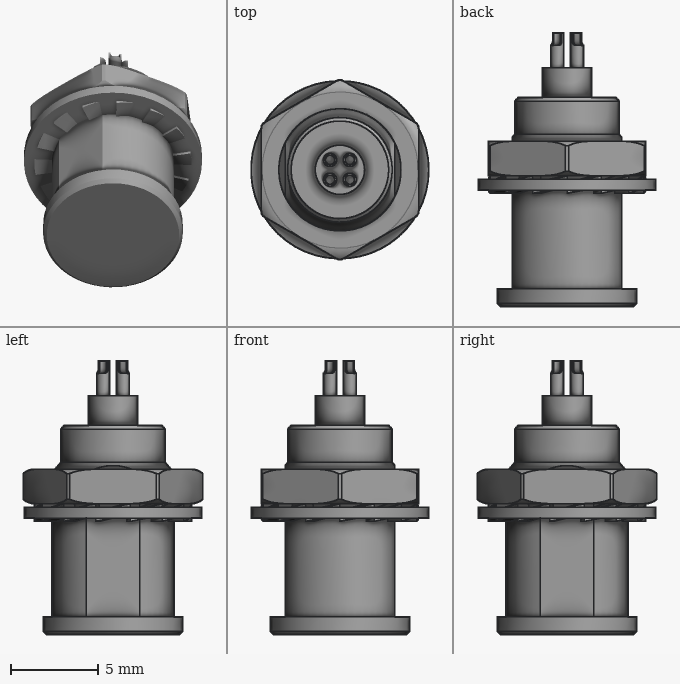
import cadquery as cq
import math


flange_radius = 4.0
flange_height = 1.02
flange_chamfer = 0.2
barrel_radius = 3.5
barrel_across_flats = 6.3
cone_bottom_z = 9.28
cap_radius = 3.0
cap_bottom_z = 9.88
cap_top_z = 12.0
cap_chamfer = 0.2
stem_radius = 1.41
stem_top_z = 13.7

overall_height = 15.7
pin_count = 4
pin_radius = 0.38
pin_circle_radius = 0.8
pin_height = overall_height - stem_top_z
cup_bore_radius = 0.27
cup_bore_depth = 1.49
cup_notch_depth = 0.72
cup_notch_fillet = 0.25

washer_radius = 5.1
washer_bottom_z = 6.5
washer_total_height = 1.0
tooth_height = 0.19
tooth_count = 14
tooth_outer_radius = 4.5
tooth_pitch = 360 / tooth_count
tooth_angle = tooth_pitch / 2
tooth_root_depth = 0.15
washer_top_z = washer_bottom_z + washer_total_height
washer_mid_z = (washer_bottom_z + washer_top_z) / 2
disc_bottom_z = washer_bottom_z + tooth_height
disc_height = washer_total_height - 2 * tooth_height

nut_across_flats = 9.01
nut_corner_radius = 5.15
nut_height = 2.0
nut_face_radius = 4.47
nut_rounding = 1.0


def disc(radius, bottom_z, height):
    """Round plate on the Z axis."""
    return cq.Workplane("XY", origin=(0, 0, bottom_z)).circle(radius).extrude(height)


def make_barrel():
    """Barrel with a coned shoulder, cut to two flats facing -X and +X."""
    barrel = (
        cq.Workplane("XZ")
        .polyline([
            (0, 0),
            (barrel_radius, 0),
            (barrel_radius, cone_bottom_z),
            (cap_radius, cap_bottom_z),
            (0, cap_bottom_z),
        ])
        .close()
        .revolve(360, (0, 0), (0, 1))
    )
    flats = cq.Workplane("XY").rect(barrel_across_flats, 2 * barrel_radius).extrude(cap_bottom_z)
    return barrel.intersect(flats)


def make_pin():
    """Solder cup at the +X side of the pin circle, with its upper outer half notched away."""
    pin = disc(pin_radius, 0, pin_height)
    bore = disc(cup_bore_radius, pin_height - cup_bore_depth, cup_bore_depth)
    notch = (
        cq.Workplane("XY", origin=(0, 0, pin_height - cup_notch_depth))
        .rect(2 * pin_radius, 2 * pin_radius)
        .extrude(cup_notch_depth)
        .translate((pin_radius, 0, 0))
        .edges("<X and <Z")
        .fillet(cup_notch_fillet)
    )
    return pin.cut(bore).cut(notch).translate((pin_circle_radius, 0, stem_top_z))


def make_shell():
    """One-piece shell: flange, barrel, cap, stem and pins."""
    flange = disc(flange_radius, 0, flange_height).faces("<Z").chamfer(flange_chamfer)
    cap = disc(cap_radius, cap_bottom_z, cap_top_z - cap_bottom_z).faces(">Z").chamfer(cap_chamfer)
    stem = disc(stem_radius, cap_top_z, stem_top_z - cap_top_z)
    shell = flange.union(make_barrel()).union(cap).union(stem)
    pin = make_pin()
    pin_spacing = 360 / pin_count
    for i in range(pin_count):
        angle = (i + 0.5) * pin_spacing
        shell = shell.union(pin.rotate((0, 0, 0), (0, 0, 1), angle))
    return shell


def make_lower_tooth():
    """Tooth under the disc: upright face in the XZ plane, ramp rising counterclockwise from it."""
    inner_section = barrel_radius / 2
    outer_section = 2 * tooth_outer_radius
    ramp_slope = math.tan(math.radians(tooth_angle))
    root_z = disc_bottom_z + tooth_root_depth
    sections = []
    for distance in (inner_section, outer_section):
        section = cq.Wire.makePolygon([
            cq.Vector(distance, 0, root_z),
            cq.Vector(distance, 0, washer_bottom_z),
            cq.Vector(distance, distance * ramp_slope, disc_bottom_z),
            cq.Vector(distance, distance * ramp_slope, root_z),
        ], close=True)
        sections.append(section)
    wedge = cq.Workplane(cq.Solid.makeLoft(sections, True))
    return wedge.intersect(disc(tooth_outer_radius, washer_bottom_z, washer_total_height))


def make_washer():
    """Disc with saw teeth below, and the same teeth turned over about the Y direction above."""
    washer = disc(washer_radius, disc_bottom_z, disc_height)
    lower_tooth = make_lower_tooth()
    for i in range(tooth_count):
        tooth = lower_tooth.rotate((0, 0, 0), (0, 0, 1), i * tooth_pitch - 90)
        upper_tooth = tooth.rotate((0, 0, washer_mid_z), (0, 1, washer_mid_z), 180)
        washer = washer.union(tooth).union(upper_tooth)
    return washer.cut(disc(barrel_radius, washer_bottom_z, washer_total_height))


def make_nut():
    """Hex nut with two faces square to X and corners rounded over at both ends."""
    hexagon = (
        cq.Workplane("XY")
        .polygon(6, nut_across_flats, circumscribed=True)
        .extrude(nut_height)
    )

    def rounding_drop(radius):
        """Drop below the end face of an arc tangent to that face."""
        return nut_rounding - math.sqrt(nut_rounding ** 2 - (radius - nut_face_radius) ** 2)

    middle_radius = (nut_face_radius + nut_corner_radius) / 2
    middle_drop = rounding_drop(middle_radius)
    corner_drop = rounding_drop(nut_corner_radius)
    envelope = (
        cq.Workplane("XZ")
        .moveTo(barrel_radius, 0)
        .lineTo(nut_face_radius, 0)
        .threePointArc((middle_radius, middle_drop), (nut_corner_radius, corner_drop))
        .lineTo(nut_corner_radius, nut_height - corner_drop)
        .threePointArc((middle_radius, nut_height - middle_drop), (nut_face_radius, nut_height))
        .lineTo(barrel_radius, nut_height)
        .close()
        .revolve(360, (0, 0), (0, 1))
    )
    return hexagon.intersect(envelope).translate((0, 0, washer_top_z))


shell = make_shell()
washer = make_washer()
nut = make_nut()

result = cq.Compound.makeCompound([shell.solids().val(), washer.solids().val(), nut.solids().val()])